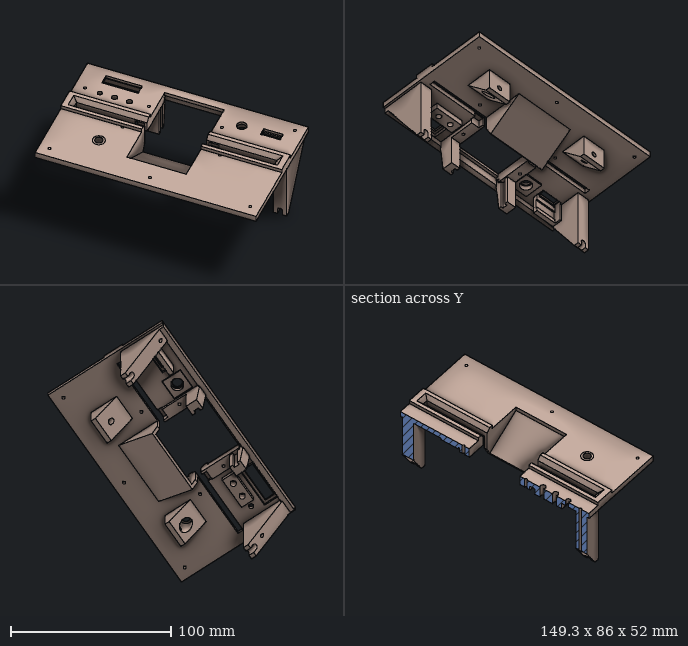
import cadquery as cq


panel_width = 149.3
panel_depth = 86.0
panel_thickness = 4.5
rear_y = panel_depth / 2
ridge_height = 2.5
ridge_top = panel_thickness + ridge_height
ridge_width = 14.2
ridge_y = 6.3

slot_length = 135.3
slot_width = 3.9
slot_mouth_length = 141.2
slot_mouth_width = 9.0
slot_bevel_bottom = 4.2
slot_front = ridge_y - slot_width / 2
slot_rear = ridge_y + slot_width / 2

window_width = 40.0
window_front = -25.0
window_rear = 37.0
window_side = window_width / 2
ramp_outer_width = 44.8
ramp_top_slope = 0.63
ramp_top_end_z = -16.9
ramp_tip_y = 0.5
ramp_tip_z = -17.6
cheek_corner_z = -10.2
rim_depth = 4.0
rim_width = 3.9
rim_face = rear_y - rim_width
rear_lip = 2.5

leg_outer = 73.2
leg_width = 9.1
leg_length = 45.0
leg_front = 10.7
leg_foot_rear = 14.3
leg_root_rear = 40.0
notch_width = 3.5
notch_height = 5.1

rail_outer = 27.9
rail_depth = 3.1
bracket_inner = 20.8
bracket_length = 25.7
bracket_front = 29.5
bracket_foot_rear = 37.5
bracket_root_rear = 40.2
groove_front = 32.0
groove_width = 3.5
groove_depth = 1.8
pocket_inner = 21.6
pocket_outer = 28.4
pocket_rear = 11.6
pocket_top = 3.0

gusset_x = 41.2
gusset_width = 17.8
gusset_height = 16.1
gusset_front = -26.9
gusset_foot_rear = -23.7
gusset_root_rear = -7.8
gusset_hole_diameter = 3.5
gusset_hole_z = -10.2

display_left = -59.5
display_length = 24.3
display_width = 6.7
display_lip = 2.0
display_margin = 1.8
button_y = 21.2
button_holes = [(-57.3, 3.1), (-47.3, 3.7), (-37.3, 3.7)]
button_box_length = 21.6
button_box_width = 9.0
button_box_depth = 4.5
button_box_x = -42.4
socket_x = -42.0
socket_y = -17.6
socket_diameter = 5.2
socket_counterbore = 8.0
socket_skin = 0.2

round_x = 35.7
round_y = 28.2
round_diameter = 6.4
round_counterbore = 8.0
round_lip = 2.0
pad_size = 13.7
pad_depth = 1.2
connector_left = 49.4
connector_right = 62.4
connector_front = 25.7
connector_rear = 30.9
holder_left = 47.0
holder_right = 62.9
holder_wall = 2.2
holder_depth = 14.0
holder_face = 30.0
holder_top = 1.3
holder_ledge_bottom = -4.0
holder_stop_top = -11.0
connector_lip = 2.0
connector_pocket_front = 24.6

pilot_diameter = 1.8
pilot_skin = 0.5
pilot_points = [
    (-67.8, -35.8), (0, -35.8), (67.8, -35.8),
    (-32.8, -0.7), (32.8, -0.7),
    (-67.8, 22.4), (-24.6, 22.4), (24.6, 22.4), (67.8, 37.3),
]


def block(x0, x1, y0, y1, z0, z1):
    """Box between two opposite corners."""
    return cq.Workplane("XY").box(x1 - x0, y1 - y0, z1 - z0, centered=False).translate((x0, y0, z0))


def side_profile(points, x0, x1):
    """Extrude a (Y, Z) outline from x0 to x1."""
    return cq.Workplane("YZ").workplane(offset=x0).polyline(points).close().extrude(x1 - x0)


def drill(x, y, diameter, top=ridge_top):
    """Vertical cutter from below the legs up to the given height."""
    return (
        cq.Workplane("XY").workplane(offset=-leg_length).center(x, y)
        .circle(diameter / 2).extrude(leg_length + top)
    )


def both_sides(shape):
    """The shape together with its mirror image across X = 0."""
    return shape.union(shape.mirror("YZ"))


def panel():
    half_x = panel_width / 2
    plate = block(-half_x, half_x, -rear_y, rear_y, 0, panel_thickness)
    ridge = block(
        -half_x, half_x, ridge_y - ridge_width / 2, ridge_y + ridge_width / 2, 0, ridge_top
    )
    rim = block(-leg_outer, leg_outer, rim_face, rear_y, -rim_depth, 0)
    return plate.union(ridge).union(rim)


def ramp():
    half_x = ramp_outer_width / 2
    outline = [
        (window_front, 0), (ramp_tip_y, ramp_tip_z), (slot_front, cheek_corner_z), (slot_front, 0),
    ]
    return side_profile(outline, -half_x, half_x)


def window_cutter():
    ramp_start_z = ramp_top_end_z + ramp_top_slope * (slot_front - window_front)
    outline = [
        (window_front, ramp_start_z), (slot_front, ramp_top_end_z),
        (window_rear, ramp_top_end_z), (window_rear, ridge_top), (window_front, ridge_top),
    ]
    return side_profile(outline, -window_side, window_side)


def window_rear_recess():
    """Undercut that thins the rear edge of the window to a lip, ending at the rim."""
    return block(
        -window_side, window_side, window_rear, rim_face, -rim_depth, panel_thickness - rear_lip
    )


def slot_cutter():
    straight = block(
        -slot_length / 2, slot_length / 2, slot_front, slot_rear, 0, ridge_top
    )
    mouth = (
        cq.Workplane("XY").workplane(offset=slot_bevel_bottom).center(0, ridge_y)
        .rect(slot_length, slot_width)
        .workplane(offset=ridge_top - slot_bevel_bottom)
        .rect(slot_mouth_length, slot_mouth_width).loft(ruled=True)
    )
    return straight.union(mouth)


def leg():
    outline = [
        (leg_front, 0), (leg_front, -leg_length), (leg_foot_rear, -leg_length),
        (leg_root_rear, -rim_depth), (leg_root_rear, 0),
    ]
    body = side_profile(outline, leg_outer - leg_width, leg_outer)
    notch_x = leg_outer - leg_width / 2
    radius = notch_width / 2
    arch_z = notch_height - radius - leg_length
    slot = block(notch_x - radius, notch_x + radius, leg_front, rear_y, -leg_length, arch_z)
    arch = (
        cq.Workplane("XZ", origin=(notch_x, rear_y, arch_z)).circle(radius)
        .extrude(rear_y - leg_front)
    )
    return body.cut(slot).cut(arch)


def rail_and_bracket():
    rail = block(window_side, rail_outer, slot_rear, window_rear, -rail_depth, 0)
    outline = [
        (bracket_front, 0), (bracket_front, -bracket_length),
        (bracket_foot_rear, -bracket_length), (bracket_root_rear, 0),
    ]
    bracket = side_profile(outline, bracket_inner, rail_outer)
    groove = block(
        bracket_inner, bracket_inner + groove_depth,
        groove_front, groove_front + groove_width, -bracket_length, -rail_depth,
    )
    return rail.union(bracket.cut(groove))


def slot_end_pocket():
    return block(pocket_inner, pocket_outer, slot_rear, pocket_rear, -rail_depth, pocket_top)


def gusset():
    outline = [
        (gusset_front, 0), (gusset_front, -gusset_height),
        (gusset_foot_rear, -gusset_height), (gusset_root_rear, 0),
    ]
    body = side_profile(outline, gusset_x - gusset_width / 2, gusset_x + gusset_width / 2)
    hole = (
        cq.Workplane("XZ", origin=(gusset_x, gusset_root_rear, gusset_hole_z))
        .circle(gusset_hole_diameter / 2).extrude(gusset_root_rear - gusset_front)
    )
    return body.cut(hole)


def pad(x, y, length, width, depth):
    """Rectangular pad hanging below the panel."""
    return cq.Workplane("XY").box(length, width, depth).translate((x, y, -depth / 2))


def display_pocket():
    """Recess under the panel that leaves a thin lip around the display opening."""
    return block(
        display_left - display_margin, display_left + display_length + display_margin,
        window_rear - display_width - display_margin, window_rear + display_margin,
        0, panel_thickness - display_lip,
    )


def connector_pocket():
    """Recess under the panel that leaves a thin lip around the connector opening."""
    return block(
        holder_left, holder_right, connector_pocket_front, connector_rear + holder_wall,
        0, panel_thickness - connector_lip,
    )


def connector_holder():
    """Wall behind the connector with a ledge above and a stop below, tied to the right leg."""
    wall_rear = connector_rear + holder_wall
    wall = block(holder_left, holder_right, connector_rear, wall_rear, -holder_depth, holder_top)
    ledge = block(
        holder_left, holder_right, holder_face, connector_rear, holder_ledge_bottom, holder_top
    )
    stop = block(
        holder_left, holder_right, holder_face, connector_rear, -holder_depth, holder_stop_top
    )
    side = block(
        holder_right, leg_outer - leg_width, connector_front, wall_rear, -holder_depth, 0
    )
    return wall.union(ledge).union(stop).union(side)


body = panel().union(ramp())
for feature in (leg(), rail_and_bracket(), gusset()):
    body = body.union(both_sides(feature))
body = body.union(pad(button_box_x, button_y, button_box_length, button_box_width, button_box_depth))
body = body.union(pad(round_x, round_y, pad_size, pad_size, pad_depth))
body = body.cut(connector_pocket()).union(connector_holder())

body = body.cut(window_rear_recess()).cut(display_pocket())
body = body.cut(window_cutter()).cut(slot_cutter()).cut(both_sides(slot_end_pocket()))
body = body.cut(
    block(
        display_left, display_left + display_length,
        window_rear - display_width, window_rear, 0, panel_thickness,
    )
)
body = body.cut(
    block(connector_left, connector_right, connector_front, connector_rear, 0, panel_thickness)
)
for button_x, button_diameter in button_holes:
    body = body.cut(drill(button_x, button_y, button_diameter))
body = body.cut(drill(socket_x, socket_y, socket_diameter))
body = body.cut(drill(socket_x, socket_y, socket_counterbore, panel_thickness - socket_skin))
body = body.cut(drill(round_x, round_y, round_diameter))
body = body.cut(drill(round_x, round_y, round_counterbore, panel_thickness - round_lip))
for pilot_x, pilot_y in pilot_points:
    body = body.cut(drill(pilot_x, pilot_y, pilot_diameter, panel_thickness - pilot_skin))

result = body